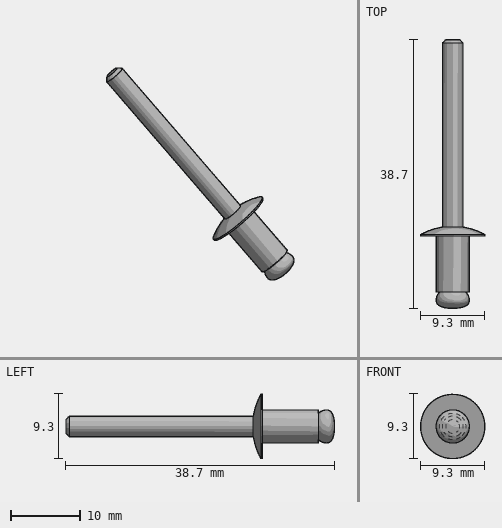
import cadquery as cq

total_length = 38.7
body_radius = 2.4
body_start = 2.35
flange_face = 10.4
flange_radius = 4.65
rim_thickness = 0.25
flange_height = 1.45
stem_diameter = 2.98
stem_chamfer = 0.5
head_radius = body_radius
head_widest = 1.15
head_neck_radius = 1.9

stem_radius = stem_diameter / 2
rim_end = flange_face + rim_thickness
flange_top = flange_face + flange_height

dome_rise = flange_top - rim_end
dome_radius = (flange_radius**2 + dome_rise**2) / (2 * dome_rise)
dome_center = flange_top - dome_radius


def dome_point(radius):
    """Point of the dome profile at the given distance from the axis."""
    return (radius, dome_center + (dome_radius**2 - radius**2) ** 0.5)


half_profile = (
    cq.Workplane("XY")
    .moveTo(0, 0)
    .spline(
        [(head_radius, head_widest), (head_neck_radius, body_start)],
        tangents=[(1, 0), (0, 1), (-1, 1)],
        includeCurrent=True,
    )
    .lineTo(body_radius, body_start)
    .lineTo(body_radius, flange_face)
    .lineTo(flange_radius, flange_face)
    .lineTo(flange_radius, rim_end)
    .threePointArc(dome_point((flange_radius + stem_radius) / 2), dome_point(stem_radius))
    .lineTo(stem_radius, total_length - stem_chamfer)
    .lineTo(stem_radius - stem_chamfer, total_length)
    .lineTo(0, total_length)
    .close()
)

result = half_profile.revolve(360, (0, 0, 0), (0, 1, 0))